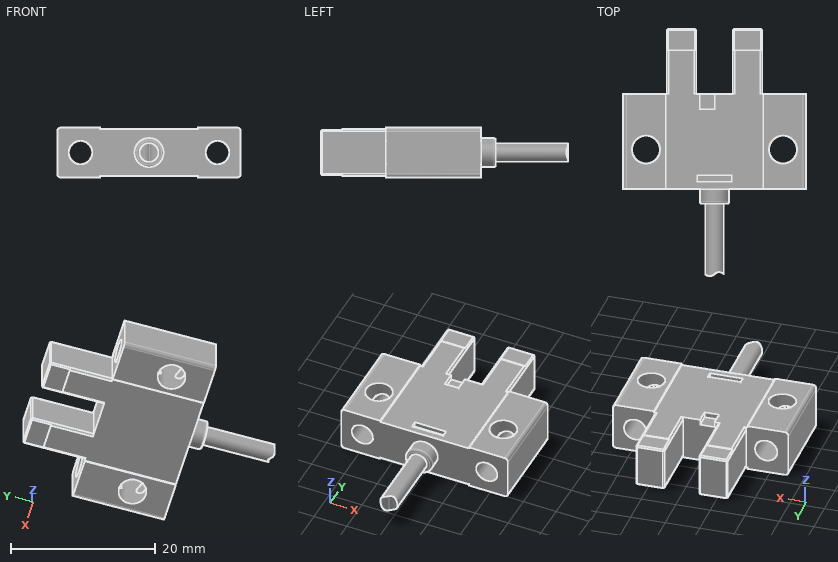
import cadquery as cq

total_length = 34.25

body_width = 25.4
body_length = 13.2
body_height = 6.95
ear_edge_radius = 0.5
recess_width = 13.53
recess_depth = 0.2
center_height = body_height - 2 * recess_depth

hole_spacing = 18.97
cross_hole_diameter = 3.85
cross_hole_y = 5.48
long_hole_diameter = 3.22

arm_length = 9.0
arm_span = 13.3
arm_gap = 5.0
arm_width = (arm_span - arm_gap) / 2
tip_length = 2.95
tip_step = 0.1
tip_chamfer = 0.2

notch_size = 2.1
notch_right_x = 0.07
notch_depth = 0.8
slot_width = 4.73
slot_length = 0.95
slot_center_y = 1.47
slot_depth = 0.8

sleeve_diameter = 4.05
sleeve_length = 2.05
sleeve_edge_radius = 0.3
cable_diameter = 2.6
cable_length = total_length - body_length - arm_length
break_wave_height = 0.27


def make_body():
    body = cq.Workplane("XY").box(body_width, body_length, body_height)
    body = body.edges("|Y").fillet(ear_edge_radius)
    recess_floor = center_height / 2
    for z_center in (recess_floor + recess_depth / 2, -recess_floor - recess_depth / 2):
        recess = cq.Workplane("XY").box(recess_width, body_length, recess_depth)
        body = body.cut(recess.translate((0, 0, z_center)))
    return body.translate((0, body_length / 2, 0))


def make_arm(x_center):
    root = cq.Workplane("XY").box(arm_width, arm_length - tip_length, center_height)
    root = root.edges("|Y").chamfer(tip_chamfer + tip_step)
    root = root.translate((x_center, body_length + (arm_length - tip_length) / 2, 0))
    tip = cq.Workplane("XY").box(arm_width, tip_length, center_height - 2 * tip_step)
    tip = tip.edges("|Y or >Y").chamfer(tip_chamfer)
    tip = tip.translate((x_center, body_length + arm_length - tip_length / 2, 0))
    return root.union(tip)


def make_mounting_holes():
    centers = [(-hole_spacing / 2, 0), (hole_spacing / 2, 0)]
    cross_holes = (
        cq.Workplane("XY")
        .center(0, cross_hole_y)
        .pushPoints(centers)
        .circle(cross_hole_diameter / 2)
        .extrude(body_height, both=True)
    )
    long_holes = (
        cq.Workplane("XZ")
        .pushPoints(centers)
        .circle(long_hole_diameter / 2)
        .extrude(-body_length)
    )
    return cross_holes.union(long_holes)


def make_top_pocket(x_center, y_center, width, length, depth):
    top = cq.Workplane("XY").workplane(offset=center_height / 2)
    return top.center(x_center, y_center).rect(width, length).extrude(-depth)


def make_sleeve():
    sleeve = cq.Workplane("XZ").circle(sleeve_diameter / 2).extrude(sleeve_length)
    return sleeve.faces("<Y").edges().fillet(sleeve_edge_radius)


def make_cable():
    cable = cq.Workplane("XZ").circle(cable_diameter / 2).extrude(cable_length)
    radius = cable_diameter / 2
    break_y = -cable_length + break_wave_height
    outline = (
        cq.Workplane("XY")
        .moveTo(-radius, 0)
        .lineTo(-radius, break_y)
        .threePointArc((-radius / 2, break_y - break_wave_height), (0, break_y))
        .threePointArc((radius / 2, break_y + break_wave_height), (radius, break_y))
        .lineTo(radius, 0)
        .close()
        .extrude(cable_diameter, both=True)
    )
    return cable.intersect(outline)


result = make_body()
for side in (-1, 1):
    result = result.union(make_arm(side * (arm_gap + arm_width) / 2))
result = result.union(make_sleeve()).union(make_cable())
result = result.cut(make_mounting_holes())
result = result.cut(
    make_top_pocket(
        notch_right_x - notch_size / 2,
        body_length - notch_size / 2,
        notch_size,
        notch_size,
        notch_depth,
    )
)
result = result.cut(make_top_pocket(0, slot_center_y, slot_width, slot_length, slot_depth))